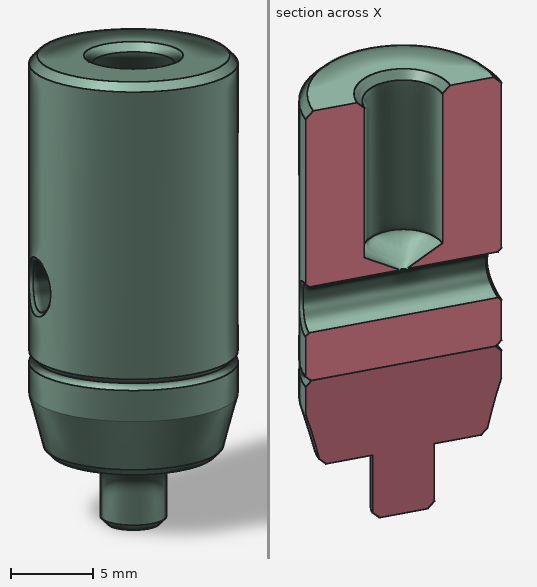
import cadquery as cq
import math

total_height = 29.5
outer_radius = 6.35

stud_radius = 2.0
stud_length = 4.48
stud_chamfer = 0.45
cap_bottom_radius = 5.45
cap_bottom_chamfer = 0.45
taper_top_z = 8.23

joint_z = 10.53
joint_chamfer = 0.35

housing_height = total_height - joint_z
housing_top_chamfer = 0.5
bore_radius = 2.5
bore_depth = 11.0
bore_chamfer = 0.5
drill_point_angle = 120.0
cross_hole_radius = 1.6
cross_hole_z = 15.55
cross_hole_chamfer = 0.25


def make_housing():
    """Chamfered cylinder with a chamfered cross hole and a drilled bore."""
    body = cq.Workplane("XY").workplane(offset=joint_z).circle(outer_radius).extrude(housing_height)
    body = body.faces(">Z").chamfer(housing_top_chamfer)
    body = body.faces("<Z").chamfer(joint_chamfer)

    cross_hole = (
        cq.Workplane("XZ")
        .center(0, cross_hole_z)
        .circle(cross_hole_radius)
        .extrude(2 * outer_radius, both=True)
    )
    body = body.cut(cross_hole)
    box_side = 4 * cross_hole_radius
    mouth_box = cq.selectors.BoxSelector(
        (-box_side / 2, -2 * outer_radius, cross_hole_z - cross_hole_radius / 2),
        (box_side / 2, 2 * outer_radius, cross_hole_z + cross_hole_radius / 2),
    )
    body = body.edges(mouth_box).chamfer(cross_hole_chamfer)
    return body.cut(make_bore())


def make_bore():
    """Blind bore whose conical drill point just breaks into the cross hole."""
    bore_floor_z = total_height - bore_depth
    point_depth = bore_radius / math.tan(math.radians(drill_point_angle / 2))
    return (
        cq.Workplane("XZ")
        .moveTo(0, bore_floor_z - point_depth)
        .lineTo(bore_radius, bore_floor_z)
        .lineTo(bore_radius, total_height - bore_chamfer)
        .lineTo(bore_radius + bore_chamfer, total_height)
        .lineTo(0, total_height)
        .close()
        .revolve(360, (0, 0), (0, 1))
    )


def make_cap():
    """Tapered collar with a chamfered stud below it."""
    return (
        cq.Workplane("XZ")
        .lineTo(stud_radius - stud_chamfer, 0)
        .lineTo(stud_radius, stud_chamfer)
        .lineTo(stud_radius, stud_length)
        .lineTo(cap_bottom_radius - cap_bottom_chamfer, stud_length)
        .lineTo(cap_bottom_radius, stud_length + cap_bottom_chamfer)
        .lineTo(outer_radius, taper_top_z)
        .lineTo(outer_radius, joint_z - joint_chamfer)
        .lineTo(outer_radius - joint_chamfer, joint_z)
        .lineTo(0, joint_z)
        .close()
        .revolve(360, (0, 0), (0, 1))
    )


housing = make_housing()
cap = make_cap()

result = cq.Compound.makeCompound([housing.solids().val(), cap.val()])